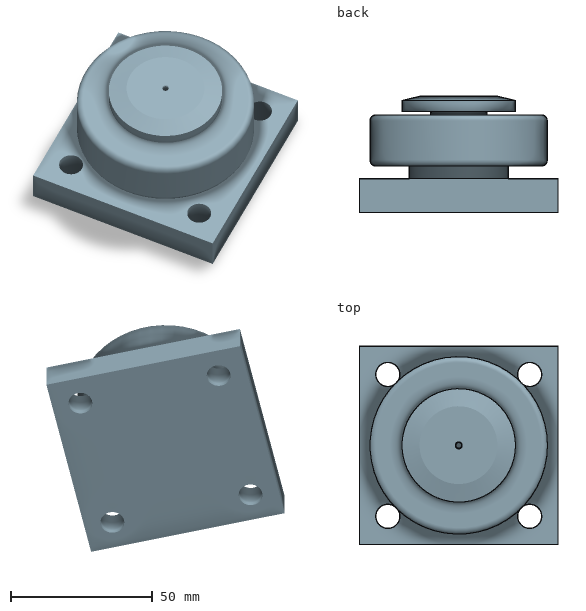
import cadquery as cq

plate_side = 70
plate_thickness = 12.0
bolt_hole_diameter = 8.4
bolt_spacing = 50.0

stem_diameter = 35
stem_height = 4.4
roller_diameter = 62.5
roller_height = 18.05
roller_fillet = 2.0
neck_diameter = 20.0
neck_height = 1.1
neck_chamfer = 0.5
cap_diameter = 40.0
cap_rim_height = 3.9
cap_top_diameter = 27.45
overall_height = 41.0

center_hole_diameter = 2.0
center_hole_depth = 3.5
center_hole_chamfer = 0.2

roller_bottom = plate_thickness + stem_height
roller_top = roller_bottom + roller_height
cap_bottom = roller_top + neck_height
cap_rim_top = cap_bottom + cap_rim_height


def disc(diameter, bottom, height):
    return cq.Workplane("XY").workplane(offset=bottom).circle(diameter / 2).extrude(height)


def revolve_profile(profile):
    """Full turn about Z of a closed (radius, height) outline."""
    return cq.Workplane("XZ").polyline(profile).close().revolve(360, (0, 0, 0), (0, 1, 0))


def make_plate():
    blank = cq.Workplane("XY").rect(plate_side, plate_side).extrude(plate_thickness)
    return (
        blank.faces(">Z").workplane()
        .rect(bolt_spacing, bolt_spacing, forConstruction=True)
        .vertices().hole(bolt_hole_diameter)
    )


def make_roller():
    return disc(roller_diameter, roller_bottom, roller_height).edges().fillet(roller_fillet)


def make_cap():
    """Flat-topped cap with a straight rim and a conical shoulder."""
    profile = [
        (0, cap_bottom),
        (cap_diameter / 2, cap_bottom),
        (cap_diameter / 2, cap_rim_top),
        (cap_top_diameter / 2, overall_height),
        (0, overall_height),
    ]
    return revolve_profile(profile)


def make_center_hole():
    """Cutter for the centre hole, flaring out at the top of the cap."""
    bottom = overall_height - center_hole_depth
    radius = center_hole_diameter / 2
    profile = [
        (0, bottom),
        (radius, bottom),
        (radius, overall_height - center_hole_chamfer),
        (radius + center_hole_chamfer, overall_height),
        (0, overall_height),
    ]
    return revolve_profile(profile)


stem = disc(stem_diameter, plate_thickness, stem_height)
neck = disc(neck_diameter, roller_top, neck_height).faces(">Z").chamfer(neck_chamfer)

result = (
    make_plate()
    .union(stem)
    .union(make_roller())
    .union(neck)
    .union(make_cap())
    .cut(make_center_hole())
)